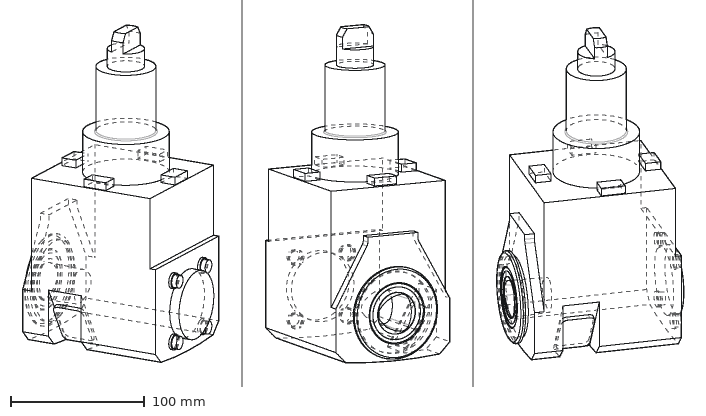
import cadquery as cq
import math


body_width = 96.0
body_left = -54.0
body_right = 48.0
body_bottom = -132.0
foot_left = -61.5
foot_right = 52.6
pad_top = -55.0
foot_corner_z = -130.0
foot_chamfer = 8.6

plate_top = -36.0
plate_neck_width = 42.0
plate_neck_bottom = -41.3
plate_shoulder_z = -88.3
plate_fillet = 6.0

shank_steps = [(64.9, 32.0), (45.0, 83.0), (28.0, 97.0)]
shank_fillet = 1.0
tang_diameter = 28.0
tang_thickness = 10.0
tang_top = 112.0
tang_bevel_height = 6.0
tang_bevel_angle = 30.0

key_width = 18.6
key_height = 6.0
left_key_span = (-49.8, -37.8)
right_key_span = (35.5, 47.5)
side_key_inner = 34.3
side_key_outer = 46.8

spindle_z = -94.6
flange_left = -68.0
flange_diameter = 70.0
flange_thickness = 3.3
flange_chamfer = 1.5
collar_diameter = 62.0
recess_outer_diameter = 46.6
recess_diameter = 45.0
recess_depth = 0.4
ring_diameter = 40.0
ring_height = 0.2
counterbore_diameter = 31.6
counterbore_depth = 0.8

socket_lobe_reach = 15.2
socket_flank_reach = 12.6
socket_lobe_radius = 7.0
socket_depth = 30.0
socket_inset = 0.8
lobe_count = 3

cover_diameter = 52.6
cover_length = 8.0
screw_offset_y = 21.8
screw_offset_z = 24.0
washer_diameter = 12.0
washer_thickness = 2.0
screw_head_diameter = 10.0
screw_head_end = 6.0

pocket_left = -39.4
pocket_right = -11.2
pocket_top = -85.3
pocket_angle = 30.0
block_left = -38.9
block_width = 26.0
block_top_distance = 14.5
block_length = 35.0
block_height = 3.0
block_corner = 4.5


def x_cylinder(diameter, start, length, y=0.0, z=spindle_z):
    """Cylinder parallel to X, starting at x = start."""
    plane = cq.Plane(origin=(start, y, z), xDir=(0, 1, 0), normal=(1, 0, 0))
    return cq.Workplane(plane).circle(diameter / 2).extrude(length)


def box_between(x_span, y_span, z_span):
    """Axis-aligned box given by its limits along X, Y and Z."""
    sizes = [end - start for start, end in (x_span, y_span, z_span)]
    corner = (x_span[0], y_span[0], z_span[0])
    return cq.Workplane("XY").box(*sizes, centered=False).translate(corner)


def make_body():
    half = body_width / 2
    corner_y = half - foot_chamfer
    corner_z = foot_corner_z + foot_chamfer
    foot = (
        cq.Workplane("YZ", origin=(foot_left, 0, 0))
        .moveTo(-half, 0)
        .lineTo(half, 0)
        .lineTo(half, corner_z)
        .lineTo(corner_y, foot_corner_z)
        .threePointArc((0, body_bottom), (-corner_y, foot_corner_z))
        .lineTo(-half, corner_z)
        .close()
        .extrude(foot_right - foot_left)
    )
    neck = plate_neck_width / 2
    plate_side = (
        cq.Workplane("YZ", origin=(foot_left, 0, 0))
        .polyline([
            (-half, plate_shoulder_z),
            (-neck, plate_neck_bottom),
            (-neck, plate_top),
            (neck, plate_top),
            (neck, plate_neck_bottom),
            (half, plate_shoulder_z),
            (half, body_bottom),
            (-half, body_bottom),
        ])
        .close()
        .extrude(body_left - foot_left)
    )
    middle_x = (foot_left + body_left) / 2
    for y in (-neck, neck):
        neck_corner = cq.selectors.NearestToPointSelector((middle_x, y, plate_neck_bottom))
        plate_side = plate_side.edges("|X").edges(neck_corner).fillet(plate_fillet)
    core = box_between((body_left, body_right), (-half, half), (body_bottom, 0))
    pad = box_between((body_right, foot_right), (-half, half), (body_bottom, pad_top))
    return foot.intersect(core.union(plate_side).union(pad))


def pocket_plane():
    """Plane of the pocket floor: origin on its top edge, local y up the slope, normal outward."""
    angle = math.radians(pocket_angle)
    normal = (0, -math.cos(angle), -math.sin(angle))
    return cq.Plane(origin=(0, -body_width / 2, pocket_top), xDir=(1, 0, 0), normal=normal)


def cut_pocket(body):
    drop = pocket_top - body_bottom
    front = -body_width / 2
    wedge = (
        cq.Workplane("YZ", origin=(pocket_left, 0, 0))
        .polyline([
            (front, pocket_top),
            (front, body_bottom),
            (front + drop * math.tan(math.radians(pocket_angle)), body_bottom),
        ])
        .close()
        .extrude(pocket_right - pocket_left)
    )
    block = (
        cq.Workplane(pocket_plane())
        .center(block_left + block_width / 2, -block_top_distance - block_length / 2)
        .sketch()
        .rect(block_width, block_length)
        .vertices()
        .fillet(block_corner)
        .finalize()
        .extrude(block_height)
    )
    return body.cut(wedge).union(block)


def make_shank():
    shank = cq.Workplane("XY")
    for diameter, top in shank_steps:
        shank = shank.union(cq.Workplane("XY").circle(diameter / 2).extrude(top))
    base_top = shank_steps[0][1]
    stem_radius = shank_steps[1][0] / 2
    fillet_ring = (
        cq.Workplane("XZ")
        .moveTo(stem_radius, base_top)
        .lineTo(stem_radius + shank_fillet, base_top)
        .radiusArc((stem_radius, base_top + shank_fillet), shank_fillet)
        .close()
        .revolve(360, (0, 0, 0), (0, 1, 0))
    )
    return shank.union(fillet_ring)


def make_tang():
    radius = tang_diameter / 2
    tang_base = shank_steps[-1][1]
    top_radius = radius - tang_bevel_height * math.tan(math.radians(tang_bevel_angle))
    bevelled_rod = (
        cq.Workplane("XZ")
        .polyline([
            (0, tang_base),
            (radius, tang_base),
            (radius, tang_top - tang_bevel_height),
            (top_radius, tang_top),
            (0, tang_top),
        ])
        .close()
        .revolve(360, (0, 0, 0), (0, 1, 0))
    )
    half = tang_thickness / 2
    blade = box_between((-half, half), (-radius, radius), (tang_base, tang_top))
    return bevelled_rod.intersect(blade)


def make_keys():
    half = key_width / 2
    heights = (0, key_height)
    keys = cq.Workplane("XY")
    for x_span in (left_key_span, right_key_span):
        keys = keys.union(box_between(x_span, (-half, half), heights))
    for y_span in ((side_key_inner, side_key_outer), (-side_key_outer, -side_key_inner)):
        keys = keys.union(box_between((-half, half), y_span, heights))
    return keys


def socket_flank_radius():
    """Radius for which each flank arc runs tangent into the lobe arcs beside it."""
    lobe_centre = socket_lobe_reach - socket_lobe_radius
    squares = socket_flank_reach**2 + lobe_centre**2 - socket_lobe_radius**2
    divisor = 2 * socket_flank_reach - lobe_centre - 2 * socket_lobe_radius
    return (squares - socket_flank_reach * lobe_centre) / divisor


def socket_wire(x, inset):
    """Closed outline in the plane at x: three lobe arcs tangent to three flatter flank arcs."""
    lobe_centre = socket_lobe_reach - socket_lobe_radius
    flank_centre = socket_flank_radius() - socket_flank_reach
    half_step = math.pi / lobe_count

    run_y = lobe_centre + flank_centre * math.cos(half_step)
    run_z = flank_centre * math.sin(half_step)
    lobe_half_angle = math.atan2(run_z, run_y)
    lobe_radius = socket_lobe_radius - inset
    join_y = lobe_centre + lobe_radius * math.cos(lobe_half_angle)
    join_z = lobe_radius * math.sin(lobe_half_angle)
    join_reach = math.hypot(join_y, join_z)
    join_angle = math.atan2(join_z, join_y)

    def point(reach, angle):
        return cq.Vector(x, reach * math.cos(angle), spindle_z + reach * math.sin(angle))

    edges = []
    for lobe in range(lobe_count):
        lobe_angle = 2 * half_step * lobe
        next_angle = lobe_angle + 2 * half_step
        start = point(join_reach, lobe_angle - join_angle)
        tip = point(socket_lobe_reach - inset, lobe_angle)
        end = point(join_reach, lobe_angle + join_angle)
        flank = point(socket_flank_reach - inset, lobe_angle + half_step)
        next_start = point(join_reach, next_angle - join_angle)
        edges.append(cq.Edge.makeThreePointArc(start, tip, end))
        edges.append(cq.Edge.makeThreePointArc(end, flank, next_start))
    return cq.Wire.assembleEdges(edges)


def make_socket():
    wires = [
        socket_wire(flange_left, 0.0),
        socket_wire(flange_left + socket_depth, socket_inset),
    ]
    return cq.Workplane("XY").add(cq.Solid.makeLoft(wires, True))


def add_spindle_nose(body):
    flange = x_cylinder(flange_diameter, flange_left, flange_thickness)
    flange = flange.faces("<X").chamfer(flange_chamfer)
    collar = x_cylinder(collar_diameter, flange_left, body_left - flange_left)
    recess = cq.Workplane("XY").add(
        cq.Solid.makeCone(
            recess_outer_diameter / 2,
            recess_diameter / 2,
            recess_depth,
            cq.Vector(flange_left, 0, spindle_z),
            cq.Vector(1, 0, 0),
        )
    )
    ring = x_cylinder(ring_diameter, flange_left + recess_depth - ring_height, ring_height)
    counterbore = x_cylinder(counterbore_diameter, flange_left, counterbore_depth)
    nose = body.union(flange).union(collar)
    return nose.cut(recess).union(ring).cut(counterbore).cut(make_socket())


def make_cover():
    cover = x_cylinder(cover_diameter, foot_right, cover_length)
    for y in (-screw_offset_y, screw_offset_y):
        for z in (spindle_z - screw_offset_z, spindle_z + screw_offset_z):
            washer = x_cylinder(washer_diameter, foot_right, washer_thickness, y, z)
            head = x_cylinder(screw_head_diameter, foot_right, screw_head_end, y, z)
            cover = cover.union(washer).union(head)
    return cover


body = cut_pocket(make_body())
body = body.union(make_shank()).union(make_tang()).union(make_keys())
result = add_spindle_nose(body).union(make_cover())